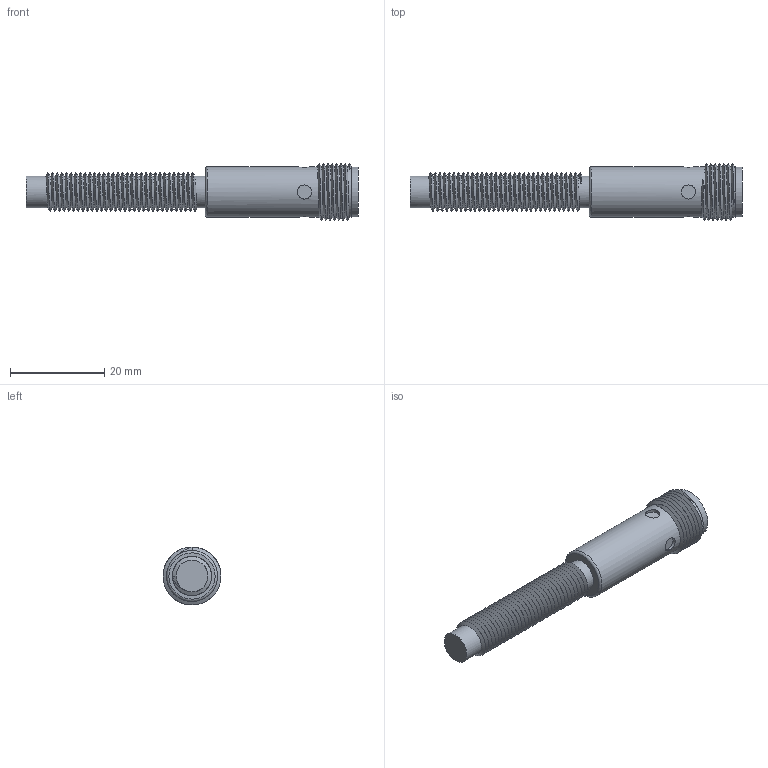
import cadquery as cq
import math

TOTAL_LENGTH = 70.35
SLEEVE_START = 38.0
COLLAR_START = 68.9

SHAFT_RADIUS = 3.37
SLEEVE_RADIUS = 5.4
COLLAR_RADIUS = 5.28
SLEEVE_FILLET = 0.5

CREST_ALLOWANCE = 0.13
SHAFT_CREST_RADIUS = 8.0 / 2 + CREST_ALLOWANCE
SLEEVE_CREST_RADIUS = 12.0 / 2 + CREST_ALLOWANCE
THREAD_ANGLE = 60.0
ROOT_OVERLAP = 0.03
RUNOUT_SECTIONS = 4
RUNOUT_TIP_SCALE = 0.02

SHAFT_THREAD_START = 4.37
SHAFT_THREAD_LENGTH = 31.7
SHAFT_THREAD_TURNS = 32
SHAFT_THREAD_START_ANGLE = 0.0
SHAFT_RUNOUT_ANGLE = 60.0

SLEEVE_THREAD_START = 62.14
SLEEVE_THREAD_LENGTH = 6.42
SLEEVE_THREAD_TURNS = 7
SLEEVE_THREAD_START_ANGLE = 90.0
SLEEVE_RUNOUT_ANGLE = 30.0

HOLE_STATION = 59.0
HOLE_DIAMETER = 3.0
HOLE_DEPTH = 0.7
HOLE_COUNT = 4


def cylinder(start, end, radius):
    """Cylinder on the X axis between two stations."""
    return cq.Workplane("YZ").workplane(offset=start).circle(radius).extrude(end - start)


def turned_body():
    shaft = cylinder(0, SLEEVE_START, SHAFT_RADIUS)
    sleeve = cylinder(SLEEVE_START, COLLAR_START, SLEEVE_RADIUS).faces("<X").edges().fillet(SLEEVE_FILLET)
    collar = cylinder(COLLAR_START, TOTAL_LENGTH, COLLAR_RADIUS)
    return shaft.union(sleeve).union(collar)


def ridge_section(root_radius, height, angle, level):
    """V section of the ridge, in the half plane through Z at the given angle in degrees."""
    half_width = height * math.tan(math.radians(THREAD_ANGLE / 2))
    direction = cq.Vector(math.cos(math.radians(angle)), math.sin(math.radians(angle)), 0)
    corners = [
        direction * root_radius + cq.Vector(0, 0, level - half_width),
        direction * (root_radius + height) + cq.Vector(0, 0, level),
        direction * root_radius + cq.Vector(0, 0, level + half_width),
    ]
    return cq.Wire.makePolygon(corners, close=True)


def ridge_runout(root_radius, height, pitch, level, signed_angle):
    """Ridge end that follows the helix on from a level on Z while it shrinks away."""
    sections = []
    for index in range(RUNOUT_SECTIONS):
        fraction = index / (RUNOUT_SECTIONS - 1)
        angle = signed_angle * fraction
        scale = 1 - (1 - RUNOUT_TIP_SCALE) * fraction
        sections.append(ridge_section(root_radius, height * scale, angle, level + pitch * angle / 360))
    return cq.Workplane(cq.Solid.makeLoft(sections))


def thread_ridge(start, length, turns, start_angle, runout_angle, body_radius, crest_radius):
    """Right-handed V ridge around the X axis: whole turns at full height, then a run-out at both ends."""
    pitch = length / turns
    root_radius = body_radius - ROOT_OVERLAP
    height = crest_radius - root_radius
    helix = cq.Wire.makeHelix(pitch, length, root_radius)
    section = ridge_section(root_radius, height, 0, 0)
    ridge = cq.Workplane(cq.Solid.sweep(section, [], helix, isFrenet=True))
    ridge = ridge.union(ridge_runout(root_radius, height, pitch, 0, -runout_angle))
    ridge = ridge.union(ridge_runout(root_radius, height, pitch, length, runout_angle))
    along_x = ridge.rotate((0, 0, 0), (0, 1, 0), 90)
    return along_x.rotate((0, 0, 0), (1, 0, 0), 90 + start_angle).translate((start, 0, 0))


def sleeve_holes():
    hole = (
        cq.Workplane("XY")
        .workplane(offset=SLEEVE_RADIUS - HOLE_DEPTH)
        .center(HOLE_STATION, 0)
        .circle(HOLE_DIAMETER / 2)
        .extrude(2 * HOLE_DEPTH)
    )
    holes = cq.Workplane("XY")
    for index in range(HOLE_COUNT):
        holes = holes.add(hole.rotate((0, 0, 0), (1, 0, 0), index * 360 / HOLE_COUNT))
    return holes.combine()


shaft_thread = thread_ridge(
    SHAFT_THREAD_START,
    SHAFT_THREAD_LENGTH,
    SHAFT_THREAD_TURNS,
    SHAFT_THREAD_START_ANGLE,
    SHAFT_RUNOUT_ANGLE,
    SHAFT_RADIUS,
    SHAFT_CREST_RADIUS,
)
sleeve_thread = thread_ridge(
    SLEEVE_THREAD_START,
    SLEEVE_THREAD_LENGTH,
    SLEEVE_THREAD_TURNS,
    SLEEVE_THREAD_START_ANGLE,
    SLEEVE_RUNOUT_ANGLE,
    SLEEVE_RADIUS,
    SLEEVE_CREST_RADIUS,
)

result = turned_body().cut(sleeve_holes()).union(shaft_thread).union(sleeve_thread)
result = cq.Workplane(result.solids().val())